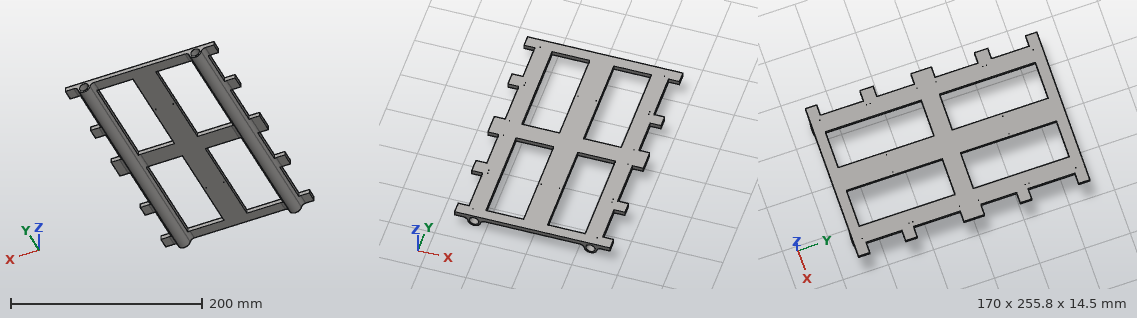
import cadquery as cq
import math

WIDTH = 170.0
LENGTH = 255.8
HEIGHT = 14.5
PLATE_THICKNESS = 5.0

BODY_WIDTH = 146.3
END_TAB_LENGTH = 12.5
CENTRE_TAB_LENGTH = 22.8
TAB_PITCH = 126.5
LEFT_TAB_LENGTH = 14.8
LEFT_TAB_MIDDLE = 66.3
RIGHT_TAB_LENGTH = 12.8
RIGHT_TAB_MIDDLE = 57.3

WINDOW_WIDTH = 41.2
WINDOW_LENGTH = 106.0
WINDOW_X = 33.8
UPPER_WINDOW_Y = 62.7
WINDOW_PITCH = 126.0

TUBE_SPACING = 127.5
TUBE_DIAMETER = 14.0
BORE_DIAMETER = 10.0
TUBE_FILLET = 4.9

PIN_DIAMETER = 0.3
RAIL_PIN_X = 68.0
CENTRE_PIN_X = 10.0
PIN_GROUP_Y = 64.2
RAIL_PIN_OFFSETS = (-53.7, -2.0, 2.0, 53.7)

TUBE_RADIUS = TUBE_DIAMETER / 2
TUBE_X = TUBE_SPACING / 2
TUBE_Z = TUBE_RADIUS - HEIGHT


def block(x_min, x_max, y_min, y_max):
    """Box over the given rectangle, tall enough to cut through the whole part."""
    return (
        cq.Workplane("XY")
        .box(x_max - x_min, y_max - y_min, HEIGHT, centered=False)
        .translate((x_min, y_min, -HEIGHT))
    )


def make_plate():
    return cq.Workplane("XY").box(WIDTH, LENGTH, PLATE_THICKNESS).translate((0, 0, -PLATE_THICKNESS / 2))


def make_tube(x):
    """Solid tube running the full length, blended into the plate by a concave arc on each side."""
    fillet_z = -PLATE_THICKNESS - TUBE_FILLET
    centre_distance = TUBE_RADIUS + TUBE_FILLET
    drop = TUBE_Z - fillet_z
    fillet_x = math.sqrt(centre_distance**2 - drop**2)

    tangent_x = fillet_x * TUBE_RADIUS / centre_distance
    tangent_z = TUBE_Z - drop * TUBE_RADIUS / centre_distance

    tube_angle = math.atan2(drop, -fillet_x)
    middle_angle = (math.pi / 2 + tube_angle) / 2
    middle_x = fillet_x + TUBE_FILLET * math.cos(middle_angle)
    middle_z = fillet_z + TUBE_FILLET * math.sin(middle_angle)

    return (
        cq.Workplane("XZ", origin=(x, LENGTH / 2, 0))
        .moveTo(-fillet_x, -PLATE_THICKNESS / 2)
        .lineTo(-fillet_x, -PLATE_THICKNESS)
        .threePointArc((-middle_x, middle_z), (-tangent_x, tangent_z))
        .threePointArc((0, -HEIGHT), (tangent_x, tangent_z))
        .threePointArc((middle_x, middle_z), (fillet_x, -PLATE_THICKNESS))
        .lineTo(fillet_x, -PLATE_THICKNESS / 2)
        .close()
        .extrude(LENGTH)
    )


def make_bore(x):
    return cq.Workplane("XZ", origin=(x, LENGTH / 2, TUBE_Z)).circle(BORE_DIAMETER / 2).extrude(LENGTH)


def side_notches(side, tab_length, upper_tab_middle):
    """The four gaps between the five tabs on one side: side is -1 for left, 1 for right."""
    tabs = (
        (-LENGTH / 2 + END_TAB_LENGTH / 2, END_TAB_LENGTH),
        (upper_tab_middle - TAB_PITCH, tab_length),
        (0, CENTRE_TAB_LENGTH),
        (upper_tab_middle, tab_length),
        (LENGTH / 2 - END_TAB_LENGTH / 2, END_TAB_LENGTH),
    )
    x_min, x_max = sorted((side * BODY_WIDTH / 2, side * WIDTH / 2))
    notches = []
    for (y_below, length_below), (y_above, length_above) in zip(tabs, tabs[1:]):
        notches.append(block(x_min, x_max, y_below + length_below / 2, y_above - length_above / 2))
    return notches


def make_window(x, y):
    half_width = WINDOW_WIDTH / 2
    half_length = WINDOW_LENGTH / 2
    return block(x - half_width, x + half_width, y - half_length, y + half_length)


def make_pin_holes():
    """Holes through the plate thickness; those over the tubes open into the bores."""
    points = []
    for group_y in (-PIN_GROUP_Y, PIN_GROUP_Y):
        for side in (-1, 1):
            points.append((side * CENTRE_PIN_X, group_y))
            points += [(side * RAIL_PIN_X, group_y + offset) for offset in RAIL_PIN_OFFSETS]
    return cq.Workplane("XY").pushPoints(points).circle(PIN_DIAMETER / 2).extrude(-PLATE_THICKNESS)


result = make_plate()
for tube_x in (-TUBE_X, TUBE_X):
    result = result.union(make_tube(tube_x))
for tube_x in (-TUBE_X, TUBE_X):
    result = result.cut(make_bore(tube_x))

for notch in side_notches(-1, LEFT_TAB_LENGTH, LEFT_TAB_MIDDLE):
    result = result.cut(notch)
for notch in side_notches(1, RIGHT_TAB_LENGTH, RIGHT_TAB_MIDDLE):
    result = result.cut(notch)

for window_x in (-WINDOW_X, WINDOW_X):
    for window_y in (UPPER_WINDOW_Y, UPPER_WINDOW_Y - WINDOW_PITCH):
        result = result.cut(make_window(window_x, window_y))

result = result.cut(make_pin_holes())